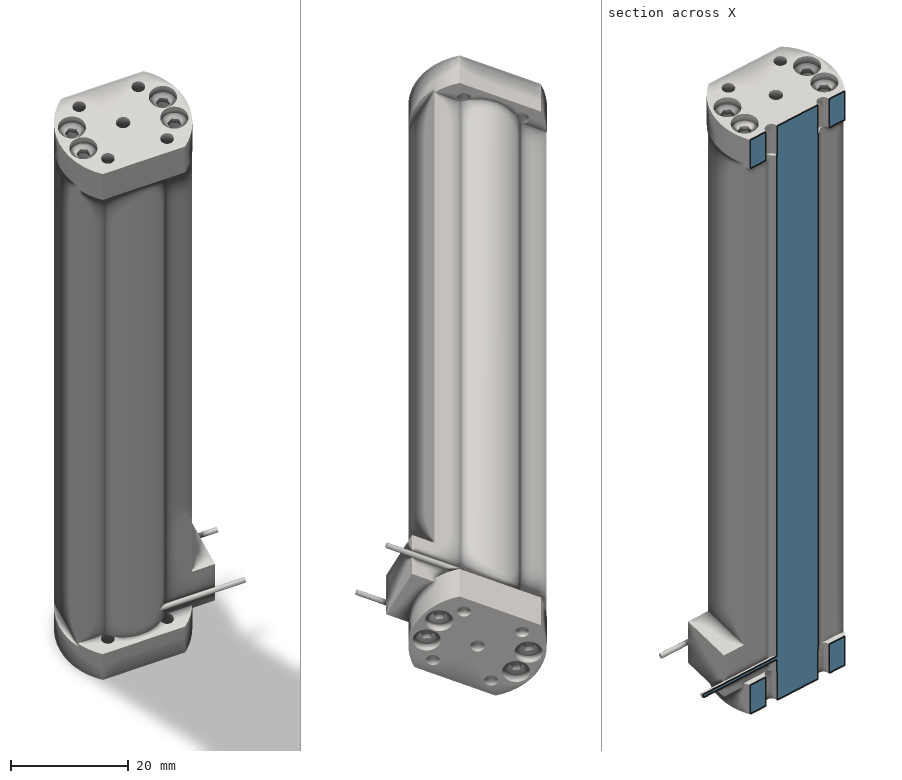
import cadquery as cq
import math

total_height = 137.0

cap_radius = 11.8
cap_width = 18.0
cap_height = 7.0

tube_diameter = 15.2
rib_width = 10.3
rib_depth = 21.1
rib_seat = 0.8
rib_bottom = cap_height - rib_seat
rib_height = total_height - 2 * rib_bottom

block_reach = 14.8
block_height = 9.9
wire_diameter = 1.0
wire_spacing = 11.9
wire_tip = 20.0
wire_root = 2.7
wire_level = 10.1

bore_diameter = 2.5
mount_diameter = 2.3
mount_spacing_x = 12.3
mount_spacing_y = 11.0
screw_spacing_x = 5.0
screw_spacing_y = 16.9
counterbore_diameter = 4.8
counterbore_depth = 1.6
socket_corners = 2.5
socket_depth = 1.1
socket_tip_depth = 0.5


def make_cap(bottom):
    """Disc with two flat sides, standing on the given height."""
    disc = cq.Workplane("XY", origin=(0, 0, bottom)).circle(cap_radius).extrude(cap_height)
    flats = cq.Workplane("XY", origin=(0, 0, bottom)).rect(cap_width, 2 * cap_radius).extrude(cap_height)
    return disc.intersect(flats)


def make_body():
    """Tube and ribs, with the rib ends seated in slots across the caps."""
    caps = make_cap(0).union(make_cap(total_height - cap_height))
    rib_plane = cq.Workplane("XY", origin=(0, 0, rib_bottom))
    slots = rib_plane.rect(rib_width, 2 * cap_radius).extrude(rib_height)
    ribs = rib_plane.rect(rib_width, rib_depth).extrude(rib_height)
    tube = rib_plane.circle(tube_diameter / 2).extrude(rib_height)
    return caps.cut(slots).union(ribs).union(tube)


def make_connector():
    """Block on the +Y rib, level with the rib's lower end, and a wire along each side."""
    block = (
        cq.Workplane("XY", origin=(0, block_reach / 2, rib_bottom))
        .rect(rib_width, block_reach)
        .extrude(block_height)
    )
    wires = (
        cq.Workplane("XZ", origin=(0, wire_tip, wire_level))
        .rarray(wire_spacing, 1.4, 2, 1)
        .circle(wire_diameter / 2)
        .extrude(wire_tip - wire_root)
    )
    return block.union(wires)


def make_screw_recess():
    """Counterbore, hexagon socket and conical socket point, cut down from Z = 0."""
    counterbore = cq.Workplane("XY").circle(counterbore_diameter / 2).extrude(-counterbore_depth)
    socket = (
        cq.Workplane("XY", origin=(0, 0, -counterbore_depth))
        .polygon(6, socket_corners)
        .extrude(-socket_depth)
    )
    point_radius = socket_corners / 2 * math.cos(math.radians(30))
    point = cq.Solid.makeCone(
        point_radius,
        0,
        socket_tip_depth,
        pnt=cq.Vector(0, 0, -counterbore_depth - socket_depth),
        dir=cq.Vector(0, 0, -1),
    )
    return counterbore.union(socket).union(cq.Workplane(point))


def make_screw_recesses():
    """Four screw recesses in the top cap and four mirrored ones in the bottom cap."""
    recess = make_screw_recess()
    recesses = cq.Workplane("XY")
    for x in (-screw_spacing_x / 2, screw_spacing_x / 2):
        for y in (-screw_spacing_y / 2, screw_spacing_y / 2):
            recesses = recesses.union(recess.translate((x, y, total_height)))
    return recesses.union(recesses.mirror("XY", (0, 0, total_height / 2)))


def make_mount_holes():
    """Four plain holes through each cap, running alongside the tube."""
    holes = cq.Workplane("XY").rarray(mount_spacing_x, mount_spacing_y, 2, 2)
    holes = holes.circle(mount_diameter / 2).extrude(cap_height)
    return holes.union(holes.translate((0, 0, total_height - cap_height)))


bore = cq.Workplane("XY").circle(bore_diameter / 2).extrude(total_height)

result = (
    make_body()
    .union(make_connector())
    .cut(make_mount_holes())
    .cut(make_screw_recesses())
    .cut(bore)
)